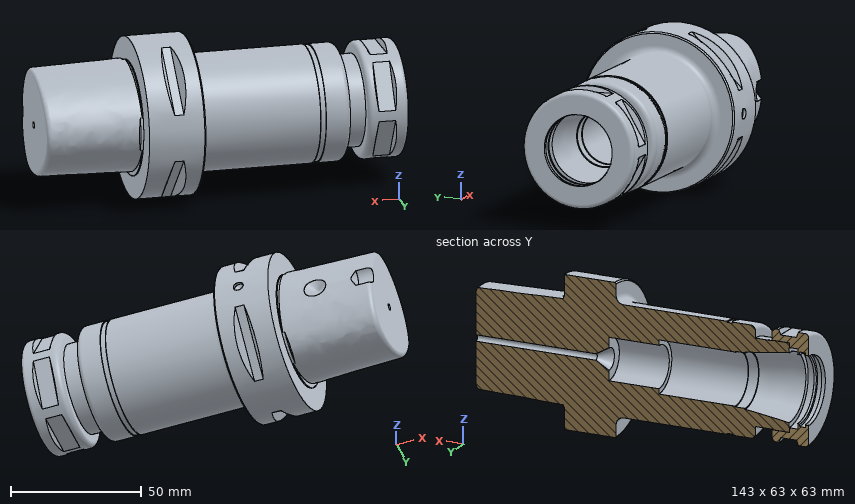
import cadquery as cq
import math


total_length = 143.0
sleeve_dia = 46.0
flange_dia = 63.0

nut_length = 16.0
nut_front_fillet = 1.7
nut_rear_fillet = 2.1
nut_opening_dia = 28.0
nut_lip_length = 1.6
nut_groove_dia = 30.0
nut_groove_end = 3.9
nut_land_end = 4.9
nut_chamber_dia = 32.3
flat_count = 6
flat_distance = 20.9
flat_centre = 8.7
flat_width = 6.6
flat_wall_angle = 22.0

nose_start = 8.5
nose_dia = 36.0
sleeve_start = 22.9
sleeve_front_fillet = 2.1
band_start = 32.9
band_end = 35.0
band_depth = 0.5
flange_start = 82.7
flange_end = 105.1
flange_fillet = 3.0
flange_chamfer = 0.6

slot_count = 4
slot_first_angle = 45.0
slot_centre = 93.0
slot_floor_distance = 27.9
slot_floor_width = 3.6
slot_wall_angle = 30.0
dimple_dia = 4.0
dimple_depth = 1.1

shank_mean_dia = 43.9
lobe_height = 1.4
taper_start = 107.0
taper_ratio = 1 / 20
profile_points = 24
shank_end_fillet = 1.7
relief_dia = 45.0
relief_corner = 1.1
boss_length = 0.5

drill_point_angle = 118.0
mark_centre = 120.3
mark_dia = 9.0
mark_lead = 0.7
end_hole_dia = 8.2
end_hole_start = 136.7
end_hole_rise = 1.1

taper_mouth_dia = 28.3
taper_root_dia = 23.0
bore_taper_angle = 8.0
relief_bore_dia = 22.3
relief_bore_length = 4.3
main_bore_dia = 21.7
main_bore_end = 64.4
rear_bore_dia = 17.5
rear_bore_end = 85.8
centre_drill_dia = 9.0
centre_drill_angle = 60.0
coolant_dia = 2.5

cut_clearance = 1.5

sleeve_radius = sleeve_dia / 2
flange_radius = flange_dia / 2
point_slope = math.tan(math.radians(drill_point_angle / 2))
bore_taper_slope = math.tan(math.radians(bore_taper_angle))
bore_taper_end = nose_start + (taper_mouth_dia - taper_root_dia) / 2 / bore_taper_slope
shank_end_dia = shank_mean_dia - (total_length - taper_start) * taper_ratio


def revolve_about_x(outline):
    return outline.close().revolve(360, (0, 0, 0), (1, 0, 0))


def cylinder(start, end, dia):
    return cq.Workplane("YZ", origin=(start, 0, 0)).circle(dia / 2).extrude(end - start)


def trapezoid_slot(centre, floor_distance, floor_width, wall_angle, outer_radius, angle):
    """A straight slot whose floor is at floor_distance from the axis, with walls flaring outward."""
    height = outer_radius - floor_distance + cut_clearance
    half_floor = floor_width / 2
    half_top = half_floor + height * math.tan(math.radians(wall_angle))
    top = floor_distance + height
    slot = (
        cq.Workplane("XZ")
        .polyline([
            (centre - half_floor, floor_distance),
            (centre + half_floor, floor_distance),
            (centre + half_top, top),
            (centre - half_top, top),
        ])
        .close()
        .extrude(outer_radius, both=True)
    )
    return slot.rotate((0, 0, 0), (1, 0, 0), angle)


def make_nut():
    nut = cylinder(0, nut_length, sleeve_dia)
    nut = nut.faces("<X").edges().fillet(nut_front_fillet)
    nut = nut.faces(">X").edges().fillet(nut_rear_fillet)
    nut = nut.cut(cylinder(0, nut_length, nut_opening_dia))
    nut = nut.cut(cylinder(nut_lip_length, nut_groove_end, nut_groove_dia))
    nut = nut.cut(cylinder(nut_land_end, nose_start, nut_chamber_dia))
    nut = nut.cut(cylinder(nose_start, nut_length, nose_dia))
    for i in range(flat_count):
        angle = i * 360 / flat_count
        nut = nut.cut(
            trapezoid_slot(flat_centre, flat_distance, flat_width, flat_wall_angle, sleeve_radius, angle)
        )
    return nut


def make_turned_body():
    """Nose, sleeve with its shallow band, and flange."""
    band_radius = sleeve_radius - band_depth
    fillet_mid = flange_fillet * (1 - math.sqrt(0.5))
    outline = (
        cq.Workplane("XY")
        .moveTo(nose_start, 0)
        .lineTo(nose_start, nose_dia / 2)
        .lineTo(sleeve_start, nose_dia / 2)
        .lineTo(sleeve_start, sleeve_radius - sleeve_front_fillet)
        .radiusArc((sleeve_start + sleeve_front_fillet, sleeve_radius), sleeve_front_fillet)
        .lineTo(band_start, sleeve_radius)
        .lineTo(band_start, band_radius)
        .lineTo(band_end, band_radius)
        .lineTo(band_end, sleeve_radius)
        .lineTo(flange_start - flange_fillet, sleeve_radius)
        .threePointArc(
            (flange_start - fillet_mid, sleeve_radius + fillet_mid),
            (flange_start, sleeve_radius + flange_fillet),
        )
        .lineTo(flange_start, flange_radius - flange_chamfer)
        .lineTo(flange_start + flange_chamfer, flange_radius)
        .lineTo(flange_end, flange_radius)
        .lineTo(flange_end, 0)
    )
    return revolve_about_x(outline)


def lobed_wire(x, mean_dia):
    """Constant-width three-lobed profile with one lobe at +Y, starting at -Y."""
    points = []
    for i in range(profile_points):
        t = math.pi + 2 * math.pi * i / profile_points
        reach = mean_dia / 2 + lobe_height * math.cos(3 * t)
        swing = 3 * lobe_height * math.sin(3 * t)
        y = reach * math.cos(t) + swing * math.sin(t)
        z = reach * math.sin(t) - swing * math.cos(t)
        points.append(cq.Vector(x, y, z))
    return cq.Wire.assembleEdges([cq.Edge.makeSpline(points, periodic=True)])


def make_shank():
    base = lobed_wire(flange_end, shank_mean_dia)
    shoulder = lobed_wire(taper_start, shank_mean_dia)
    end = lobed_wire(total_length, shank_end_dia)
    collar = cq.Workplane(cq.Solid.makeLoft([base, shoulder], True))
    cone = cq.Workplane(cq.Solid.makeLoft([shoulder, end], True))
    cone = cone.faces(">X").edges().fillet(shank_end_fillet)
    limit = relief_dia / 2
    opening = taper_start - flange_end - relief_corner
    relief = revolve_about_x(
        cq.Workplane("XY")
        .moveTo(flange_end, 0)
        .lineTo(flange_end, limit)
        .lineTo(flange_end + relief_corner, limit)
        .lineTo(taper_start, limit + opening)
        .lineTo(taper_start, 0)
    )
    boss = cylinder(flange_end, flange_end + boss_length, relief_dia)
    return collar.intersect(relief).union(boss).union(cone)


def make_inner_bore():
    relief_end = bore_taper_end + relief_bore_length
    centre_slope = math.tan(math.radians(centre_drill_angle / 2))
    drill_end = rear_bore_end + (centre_drill_dia - coolant_dia) / 2 / centre_slope
    outline = (
        cq.Workplane("XY")
        .moveTo(nose_start, 0)
        .lineTo(nose_start, taper_mouth_dia / 2)
        .lineTo(bore_taper_end, taper_root_dia / 2)
        .lineTo(bore_taper_end, relief_bore_dia / 2)
        .lineTo(relief_end, relief_bore_dia / 2)
        .lineTo(relief_end, main_bore_dia / 2)
        .lineTo(main_bore_end, main_bore_dia / 2)
        .lineTo(main_bore_end, rear_bore_dia / 2)
        .lineTo(rear_bore_end, rear_bore_dia / 2)
        .lineTo(rear_bore_end, centre_drill_dia / 2)
        .lineTo(drill_end, coolant_dia / 2)
        .lineTo(total_length, coolant_dia / 2)
        .lineTo(total_length, 0)
    )
    return revolve_about_x(outline)


def drilled_hole(dia, depth, mouth, direction):
    """A blind hole with a conical bottom; depth is the length of its straight part."""
    tip = dia / 2 / point_slope
    cone = cq.Solid.makeCone(dia / 2, 0, tip, mouth + direction * depth, direction)
    shaft = cq.Solid.makeCylinder(dia / 2, depth, mouth, direction)
    return cq.Workplane(shaft).union(cq.Workplane(cone))


def make_holder():
    holder = make_turned_body().union(make_shank())
    holder = holder.cut(make_inner_bore())
    for i in range(slot_count):
        angle = slot_first_angle + i * 360 / slot_count
        holder = holder.cut(
            trapezoid_slot(
                slot_centre, slot_floor_distance, slot_floor_width, slot_wall_angle, flange_radius, angle
            )
        )
    inward = cq.Vector(0, 1, 0)
    holder = holder.cut(
        drilled_hole(dimple_dia, dimple_depth, cq.Vector(slot_centre, -flange_radius, 0), inward)
    )

    mark_surface = (shank_mean_dia - (mark_centre - taper_start) * taper_ratio) / 2 - lobe_height
    mark_mouth = cq.Vector(mark_centre, -mark_surface - mark_lead, 0)
    holder = holder.cut(drilled_hole(mark_dia, mark_lead, mark_mouth, inward))

    end_hole_y = -(shank_end_dia / 2 - lobe_height + end_hole_rise)
    holder = holder.cut(
        drilled_hole(
            end_hole_dia,
            total_length - end_hole_start,
            cq.Vector(total_length, end_hole_y, 0),
            cq.Vector(-1, 0, 0),
        )
    )
    return holder


nut = make_nut()
holder = make_holder()

result = cq.Compound.makeCompound([nut.val(), holder.val()])